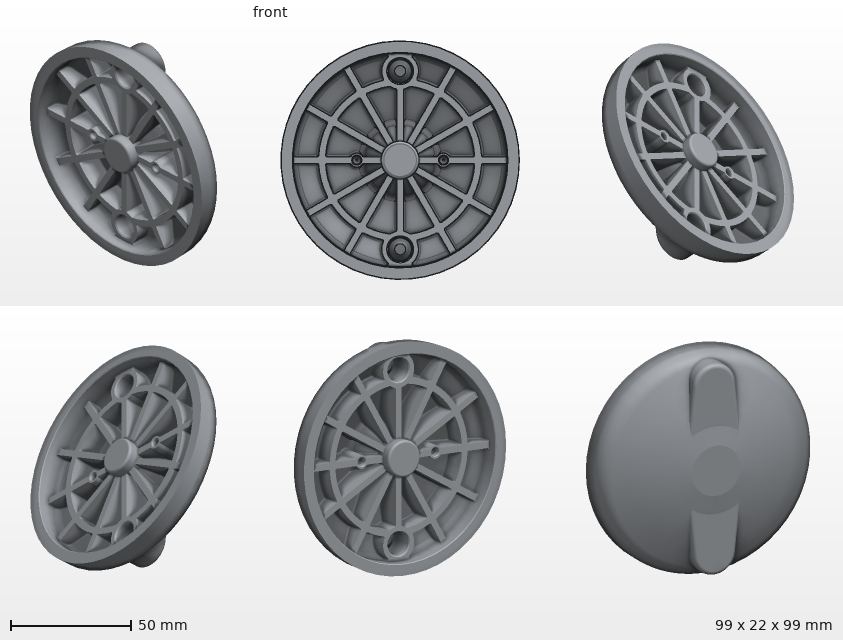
import cadquery as cq
import math


height = 22.0
rim_radius = 49.5
rim_height = 6.8
rim_top_radius = 49.2
shoulder_radius = 44.0
shoulder_round = 8.0
crown_radius = 11.0
dome_radius = 114.0
dome_center = height - math.sqrt(dome_radius**2 - crown_radius**2)
shoulder_height = dome_center + math.sqrt(dome_radius**2 - shoulder_radius**2)

mouth_radius = 44.4
mouth_chamfer = 0.35
wall_foot_radius = 44.1
wall_foot_round = 3.0
dome_thickness = 3.0
floor_sphere_radius = dome_radius - dome_thickness
floor_center_height = dome_center + floor_sphere_radius

web_height = 5.0
draft = 1.0
rib_count = 12
rib_width = 2.8
ring_inner_radius = 31.0
ring_outer_radius = 33.8
pocket_start_radius = 14.0
pocket_wall_radius = 41.0
pocket_round = 0.7
gap_round = 0.45

hub_radius = 7.9
hub_height = 0.4
hub_edge_round = 1.1
core_sphere_radius = 16.0
core_sphere_center = 22.7
core_edge_radius = 14.6
core_foot_radius = 17.3
core_foot_round = 2.6

boss_offset = 36.7
boss_radius = 9.5
boss_height = 20.9
boss_flare_angle = 6.5
boss_draft = 2.0
boss_edge_round = 1.8

bore_offset = 37.0
pad_radius = 7.6
pad_bridge_width = 9.6
bore_mouth_radius = 5.1
bore_foot_radius = 4.7
bore_chamfer = 0.5
bore_foot_height = 16.5
bore_cone_radius = 2.3
bore_cone_height = 2.0

post_offset = 18.0
post_radius = 2.9
pilot_radius = 1.7
pilot_chamfer = 0.4
pilot_depth = 8.0
pilot_tip_radius = 0.4
pilot_tip_depth = 9.0

tolerance = 0.01


def arc_middle(start, end, radius, side=1):
    """Middle of the shorter arc from start to end, bulging left (side 1) or right (side -1)."""
    chord = math.dist(start, end)
    bulge = side * (radius - math.sqrt(radius**2 - chord**2 / 4))
    along_x = (end[0] - start[0]) / chord
    along_y = (end[1] - start[1]) / chord
    middle_x = (start[0] + end[0]) / 2
    middle_y = (start[1] + end[1]) / 2
    return (middle_x - along_y * bulge, middle_y + along_x * bulge)


def floor_height_at(radius):
    return dome_center + math.sqrt(floor_sphere_radius**2 - radius**2)


def revolved(profile):
    """Close a (radius, y) profile and turn it about the Y axis."""
    return profile.close().revolve(360, (0, 0, 0), (0, 1, 0))


def raised(y, x=0.0, z=0.0):
    """Workplane at height y whose extrusions run toward +Y."""
    return cq.Workplane(cq.Plane(origin=(x, y, z), xDir=(1, 0, 0), normal=(0, 1, 0)))


def make_shell():
    rim_top = (rim_top_radius, rim_height)
    shoulder = (shoulder_radius, shoulder_height)
    crown = (crown_radius, height)
    return revolved(
        cq.Workplane("XY")
        .lineTo(rim_radius, 0)
        .lineTo(*rim_top)
        .threePointArc(arc_middle(rim_top, shoulder, shoulder_round, -1), shoulder)
        .threePointArc(arc_middle(shoulder, crown, dome_radius, -1), crown)
        .lineTo(0, height)
    )


def make_bosses():
    """Barrel-shaped block through the dome; its two rounded ends stand out as the bosses."""
    angle = math.radians(boss_flare_angle)
    tangent_x = boss_radius * math.cos(angle)
    tangent_z = boss_offset + boss_radius * math.sin(angle)
    middle_x = tangent_x + tangent_z * math.tan(angle)
    end_z = boss_offset + boss_radius
    top_plane = cq.Plane(origin=(0, boss_height, 0), xDir=(1, 0, 0), normal=(0, -1, 0))
    block = (
        cq.Workplane(top_plane)
        .moveTo(middle_x, 0)
        .lineTo(tangent_x, tangent_z)
        .threePointArc((0, end_z), (-tangent_x, tangent_z))
        .lineTo(-middle_x, 0)
        .lineTo(-tangent_x, -tangent_z)
        .threePointArc((0, -end_z), (tangent_x, -tangent_z))
        .close()
        .extrude(boss_height - rim_height, taper=-boss_draft)
    )
    return block.faces(">Y").edges().fillet(boss_edge_round)


def make_cavity():
    """Inside of the bare shell, with a chamfered mouth and a rounded foot of the wall."""
    wall_foot = (wall_foot_radius, floor_height_at(wall_foot_radius))
    floor_center = (0, floor_center_height)
    cavity = revolved(
        cq.Workplane("XY")
        .lineTo(mouth_radius + mouth_chamfer, 0)
        .lineTo(mouth_radius, mouth_chamfer)
        .lineTo(*wall_foot)
        .threePointArc(arc_middle(wall_foot, floor_center, floor_sphere_radius, -1), floor_center)
    )
    below_web = cq.selectors.BoxSelector(
        (-rim_radius, web_height, -rim_radius), (rim_radius, height, rim_radius), boundingbox=True
    )
    return cavity.edges(below_web).edges("%CIRCLE").fillet(wall_foot_round)


def make_hub():
    hub = raised(hub_height).circle(hub_radius).extrude(height - hub_height)
    return hub.faces("<Y").edges().fillet(hub_edge_round)


def core_height_at(radius):
    return core_sphere_center - math.sqrt(core_sphere_radius**2 - radius**2)


def make_core():
    """Spherical swelling around the foot of the hub, blended into the floor all round."""
    top = (0, core_height_at(0))
    edge = (core_edge_radius, core_height_at(core_edge_radius))
    foot = (core_foot_radius, floor_height_at(core_foot_radius))
    return revolved(
        cq.Workplane("XY")
        .moveTo(*top)
        .threePointArc(arc_middle(top, edge, core_sphere_radius, -1), edge)
        .threePointArc(arc_middle(edge, foot, core_foot_round), foot)
        .lineTo(core_foot_radius, floor_center_height)
        .lineTo(0, floor_center_height)
    )


def make_web():
    """Ribs, ring, bore pads and screw posts, reaching from the web plane to beyond the floor."""
    depth = height - web_height
    spread = depth * math.tan(math.radians(draft))
    web = revolved(
        cq.Workplane("XY")
        .moveTo(ring_inner_radius, web_height)
        .lineTo(ring_outer_radius, web_height)
        .lineTo(ring_outer_radius + spread, height)
        .lineTo(ring_inner_radius - spread, height)
    )
    rib_pair = raised(web_height).rect(2 * rim_radius, rib_width).extrude(depth, taper=-draft)
    for index in range(rib_count // 2):
        web = web.union(rib_pair.rotate((0, 0, 0), (0, 1, 0), index * 360 / rib_count))
    bridge_length = rim_radius - bore_offset
    bridge_offset = bore_offset + bridge_length / 2
    for side in (1, -1):
        pad_sketch = raised(web_height, z=side * bore_offset).circle(pad_radius)
        bridge_sketch = raised(web_height, z=side * bridge_offset).rect(pad_bridge_width, bridge_length)
        post_sketch = raised(web_height, x=side * post_offset).circle(post_radius)
        for sketch in (pad_sketch, bridge_sketch, post_sketch):
            web = web.union(sketch.extrude(depth, taper=-draft))
    return web


def round_pocket(pocket):
    """Round a pocket's corners and floor edge, but not its mouth, hub end or outer wall."""

    def is_rounded(edge):
        radii = [math.hypot(vertex.X, vertex.Z) for vertex in edge.Vertices()]
        at_mouth = edge.BoundingBox().ymax < web_height + tolerance
        at_hub_end = max(radii) < pocket_start_radius + tolerance
        at_outer_wall = min(radii) > pocket_wall_radius
        return not (at_mouth or at_hub_end or at_outer_wall)

    return pocket.fillet(pocket_round, [edge for edge in pocket.Edges() if is_rounded(edge)])


def make_pockets(cavity, web):
    """Spaces between the ribs: one quarter is rounded, then mirrored to the other three."""
    start = raised(0).circle(pocket_start_radius).extrude(height)
    quarter = cq.Workplane("XY").box(rim_radius, height, rim_radius, centered=False)
    spaces = cavity.cut(start).cut(web).intersect(quarter.translate((0, web_height, 0)))
    pockets = [round_pocket(space) for space in spaces.solids().vals()]
    pockets += [pocket.mirror("YZ") for pocket in pockets]
    pockets += [pocket.mirror("XY") for pocket in pockets]
    return cq.Workplane("XY").newObject(pockets)


def round_gap(gap):
    """Round the edges where the sides of a gap meet the core."""

    def is_rounded(edge):
        radii = [math.hypot(vertex.X, vertex.Z) for vertex in edge.Vertices()]
        at_mouth = edge.BoundingBox().ymin < web_height + tolerance
        return not at_mouth and max(radii) - min(radii) > gap_round

    return gap.fillet(gap_round, [edge for edge in gap.Edges() if is_rounded(edge)])


def make_hub_gaps(web, core):
    """Narrow ends of the spaces between the ribs, from the hub out to the wider pockets."""
    annulus = raised(web_height).circle(pocket_start_radius).circle(hub_radius)
    gaps = annulus.extrude(core_height_at(core_edge_radius) - web_height).cut(web).cut(core)
    return cq.Workplane("XY").newObject([round_gap(gap) for gap in gaps.solids().vals()])


def make_bore():
    """Tapered blind bore with a blunt cone standing on its bottom."""
    return revolved(
        cq.Workplane("XY")
        .moveTo(0, web_height)
        .lineTo(bore_mouth_radius + bore_chamfer, web_height)
        .lineTo(bore_mouth_radius, web_height + bore_chamfer)
        .lineTo(bore_foot_radius, bore_foot_height)
        .lineTo(bore_cone_radius, bore_foot_height - bore_cone_height)
        .lineTo(0, bore_foot_height - bore_cone_height)
    )


def make_pilot():
    return revolved(
        cq.Workplane("XY")
        .moveTo(0, web_height)
        .lineTo(pilot_radius + pilot_chamfer, web_height)
        .lineTo(pilot_radius, web_height + pilot_chamfer)
        .lineTo(pilot_radius, web_height + pilot_depth)
        .lineTo(pilot_tip_radius, web_height + pilot_tip_depth)
        .lineTo(0, web_height + pilot_tip_depth)
    )


cavity = make_cavity()
web = make_web()
core = make_core()
recess = cavity.intersect(raised(0).circle(rim_radius).extrude(web_height)).cut(make_hub())

result = make_shell().union(make_bosses()).cut(recess).cut(make_pockets(cavity, web))
result = result.union(core).cut(make_hub_gaps(web, core))

bore = make_bore()
pilot = make_pilot()
for side in (1, -1):
    result = result.cut(bore.translate((0, 0, side * bore_offset)))
    result = result.cut(pilot.translate((side * post_offset, 0, 0)))